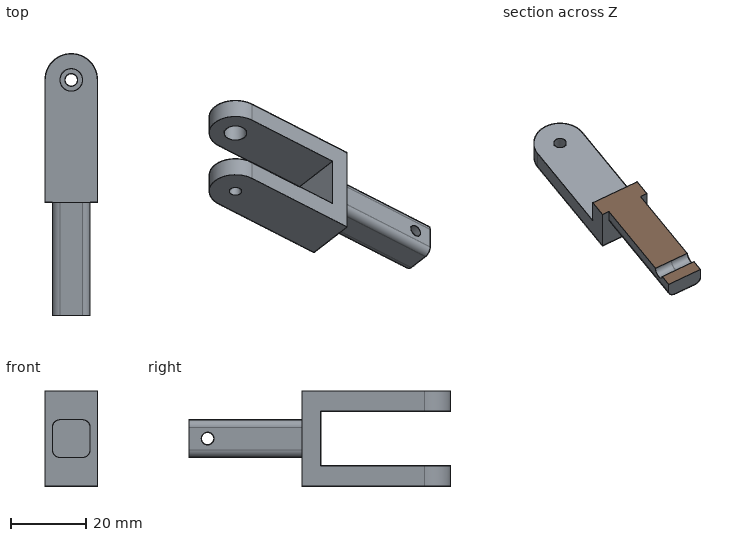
import cadquery as cq

total_length = 69.5
fork_width = 14.0
fork_height = 25.4

shank_length = 30.0
shank_side = 10.0
shank_corner_radius = 2.0
cross_hole_diameter = 3.3
cross_hole_from_end = 5.0

bridge_thickness = 5.0
arm_thickness = 5.5
upper_pin_diameter = 6.0
lower_pin_diameter = 3.3

arm_end_radius = fork_width / 2
pin_y = total_length - arm_end_radius
arm_gap = fork_height - 2 * arm_thickness
slot_start = shank_length + bridge_thickness
slot_length = total_length - slot_start


def make_fork():
    """Round-ended block, slotted from the far end to leave two arms."""
    half_width = fork_width / 2
    block = (
        cq.Workplane("XY", origin=(0, 0, -fork_height / 2))
        .moveTo(-half_width, shank_length)
        .lineTo(half_width, shank_length)
        .lineTo(half_width, pin_y)
        .threePointArc((0, total_length), (-half_width, pin_y))
        .close()
        .extrude(fork_height)
    )
    slot = cq.Workplane("XY").box(fork_width, slot_length, arm_gap).translate(
        (0, slot_start + slot_length / 2, 0)
    )
    return block.cut(slot)


def make_shank():
    """Square bar along Y with four rounded long edges."""
    return (
        cq.Workplane("XY")
        .box(shank_side, shank_length, shank_side)
        .edges("|Y")
        .fillet(shank_corner_radius)
        .translate((0, shank_length / 2, 0))
    )


def make_pin_hole(diameter, start_z):
    """Vertical cutter through one arm, rising from start_z."""
    return (
        cq.Workplane("XY", origin=(0, pin_y, start_z))
        .circle(diameter / 2)
        .extrude(arm_thickness)
    )


def make_cross_hole():
    """Cutter along X through the shank near its free end."""
    return (
        cq.Workplane("YZ")
        .center(cross_hole_from_end, 0)
        .circle(cross_hole_diameter / 2)
        .extrude(shank_side / 2, both=True)
    )


result = (
    make_fork()
    .union(make_shank())
    .cut(make_pin_hole(upper_pin_diameter, arm_gap / 2))
    .cut(make_pin_hole(lower_pin_diameter, -fork_height / 2))
    .cut(make_cross_hole())
)